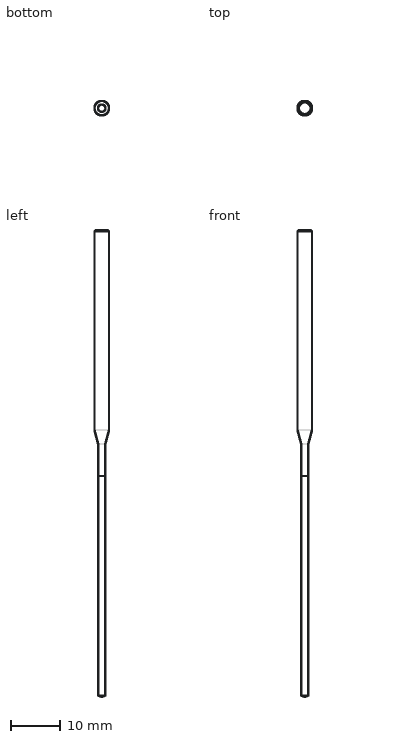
import cadquery as cq
import math

overall_length = 95.0
shank_diameter = 3.0
cutting_diameter = 1.5
cutting_length = 45.0
neck_end = 51.5
shank_chamfer = 0.3
point_angle = 135.0
taper_half_angle = 15.0

shank_radius = shank_diameter / 2
cutting_radius = cutting_diameter / 2
taper_end = neck_end + (shank_radius - cutting_radius) / math.tan(math.radians(taper_half_angle))
point_height = cutting_radius / math.tan(math.radians(point_angle / 2))


def make_shank():
    """Plain neck, conical taper and chamfered clamping shank, turned about Z."""
    return (
        cq.Workplane("YZ")
        .moveTo(0, cutting_length)
        .lineTo(-cutting_radius, cutting_length)
        .lineTo(-cutting_radius, neck_end)
        .lineTo(-shank_radius, taper_end)
        .lineTo(-shank_radius, overall_length - shank_chamfer)
        .lineTo(-shank_radius + shank_chamfer, overall_length)
        .lineTo(0, overall_length)
        .close()
        .revolve(360, (0, 0), (0, 1))
    )


def make_cutting_part():
    """Cylindrical cutting part with a conical point, turned about Z below the neck."""
    return (
        cq.Workplane("XZ")
        .moveTo(0, 0)
        .lineTo(-cutting_radius, point_height)
        .lineTo(-cutting_radius, cutting_length)
        .lineTo(0, cutting_length)
        .close()
        .revolve(360, (0, 0), (0, 1))
    )


shank = make_shank()
cutting_part = make_cutting_part()
result = cq.Compound.makeCompound([shank.val(), cutting_part.val()])